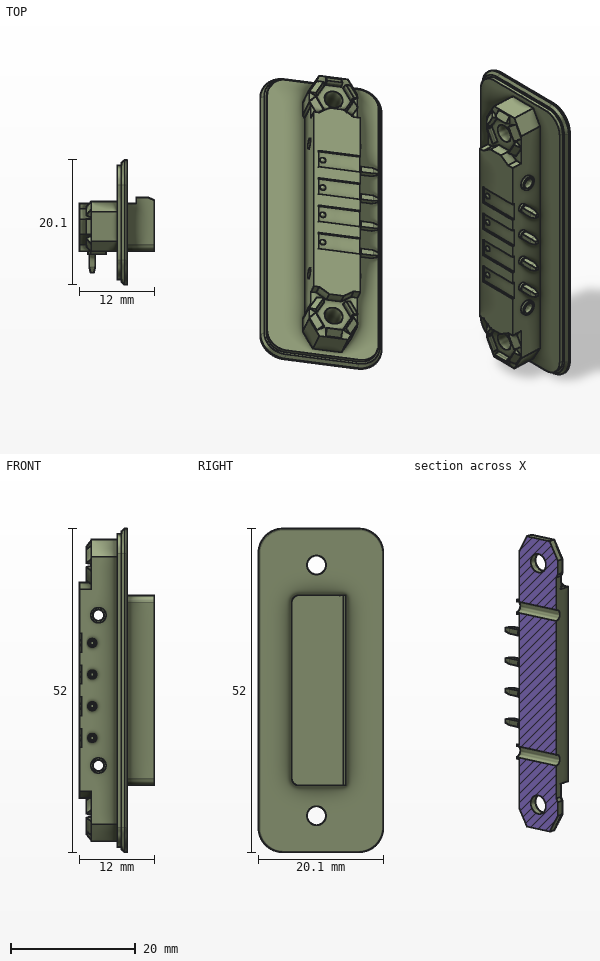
import cadquery as cq
import math

FLANGE_WIDTH = 20.07
FLANGE_HEIGHT = 51.95
FLANGE_CORNER_RADIUS = 4.0
FLANGE_BACK_X = 6.05
FLANGE_STEP_X = 6.72
FLANGE_RIM_X = 7.25
FLANGE_FRONT_X = 7.7
PAD_INSET = 0.85
BEVEL_INSET = 0.48
RIM_ROUND = 0.2

BODY_Y_MIN = -4.65
BODY_Y_MAX = 3.05
SHOULDER_X = 1.88
SEAT_Y = -0.7
SEAT_Z = 20.1
SEAT_APOTHEM = 4.1
SEAT_Y_MAX = 3.37
SCREW_HOLE_RADIUS = 1.5
BLOCK_GAP = 2.8
BLOCK_EDGE_GAP = 3.9
BLOCK_NOSE_HALF = 1.2
BLOCK_FLARE_HALF = 2.87

TAB_WIDTH = 2.55
TAB_HEIGHT = 0.82
TAB_INNER = 2.5
TAB_KNEE = 2.63
TAB_TIP = 2.88
TAB_OUTER = 3.93
TAB_COUNT = 5
TAB_ANGLE_STEP = 60

CONTACT_PITCH = 5.08
CONTACT_COUNT = 4
WINDOW_WIDTH = 3.0
WINDOW_DEPTH = 0.35
WINDOW_Y_MAX = 2.28
DOME_RADIUS = 0.5
DOME_Y = 1.48
PIN_X = 2.05
PIN_SIZE = 0.98
PIN_TIP_SIZE = 0.55
PIN_SHOULDER_Y = -7.15
PIN_END_Y = -8.1
COLLAR_RADIUS = 0.7
COLLAR_HEIGHT = 0.5

BOSS_HEIGHT = COLLAR_HEIGHT
BOSS_X = 3.05
BOSS_Z = 12.05
BOSS_RADIUS = 1.22
BOSS_HOLE_RADIUS = 0.88

SHELL_END_X = 12.0
SHELL_HEIGHT = 30.5
SHELL_CORNER_RADIUS = 1.13
RIDGE_X = 9.1
RIDGE_Y_MAX = 4.0
RIDGE_BEVEL_X = 11.0
RIDGE_BEVEL_DROP = 0.42

OVERLAP = 0.2


def box(x_range, y_range, z_range):
    """Box spanning the given coordinate ranges."""
    sizes = [high - low for low, high in (x_range, y_range, z_range)]
    corner = (x_range[0], y_range[0], z_range[0])
    return cq.Workplane("XY").box(*sizes, centered=False).translate(corner)


def flange_outline(x, inset):
    """Rounded flange outline at the given X, moved in from the rim."""
    return (
        cq.Sketch()
        .rect(FLANGE_WIDTH - 2 * inset, FLANGE_HEIGHT - 2 * inset)
        .vertices()
        .fillet(FLANGE_CORNER_RADIUS - inset)
        .moved(cq.Location(cq.Vector(0, 0, x)))
    )


def make_flange():
    pad = (
        cq.Workplane("YZ")
        .placeSketch(flange_outline(FLANGE_BACK_X, PAD_INSET))
        .extrude(FLANGE_FRONT_X - FLANGE_BACK_X)
    )
    bevel = (
        cq.Workplane("YZ")
        .placeSketch(flange_outline(FLANGE_STEP_X, BEVEL_INSET), flange_outline(FLANGE_RIM_X, 0))
        .loft()
    )
    rim = (
        cq.Workplane("YZ")
        .placeSketch(flange_outline(FLANGE_RIM_X, 0))
        .extrude(FLANGE_FRONT_X - FLANGE_RIM_X)
        .faces(">X")
        .edges()
        .fillet(RIM_ROUND)
    )
    return pad.union(bevel).union(rim)


def make_raised_block():
    """Middle block of the body, ending short of each screw seat with a tapered nose."""
    nose_z = SEAT_Z - BLOCK_GAP
    edge_z = SEAT_Z - BLOCK_EDGE_GAP
    upper_end = [
        (BODY_Y_MIN, edge_z),
        (SEAT_Y - BLOCK_FLARE_HALF, edge_z),
        (SEAT_Y - BLOCK_NOSE_HALF, nose_z),
        (SEAT_Y + BLOCK_NOSE_HALF, nose_z),
        (SEAT_Y + BLOCK_FLARE_HALF, edge_z),
        (BODY_Y_MAX, edge_z),
    ]
    lower_end = [(y, -z) for y, z in reversed(upper_end)]
    return cq.Workplane("YZ").polyline(upper_end + lower_end).close().extrude(FLANGE_FRONT_X)


def make_tab():
    """Wedge tab on the +Z face of a seat centred at the origin of Y and Z."""
    return (
        cq.Workplane("XZ", origin=(0, TAB_WIDTH / 2, 0))
        .polyline([
            (SHOULDER_X + OVERLAP, TAB_INNER),
            (SHOULDER_X, TAB_INNER),
            (SHOULDER_X - TAB_HEIGHT / 2, TAB_KNEE),
            (SHOULDER_X - TAB_HEIGHT, TAB_TIP),
            (SHOULDER_X, TAB_OUTER),
            (SHOULDER_X + OVERLAP, TAB_OUTER),
        ])
        .close()
        .extrude(TAB_WIDTH)
    )


def make_upper_seat():
    """Hexagonal screw seat with its tabs, trimmed flush with the body sides."""
    hexagon_diameter = 2 * SEAT_APOTHEM / math.cos(math.pi / 6)
    seat = (
        cq.Workplane("YZ", origin=(SHOULDER_X, 0, 0))
        .polygon(6, hexagon_diameter)
        .extrude(FLANGE_FRONT_X - SHOULDER_X)
    )
    for index in range(TAB_COUNT):
        angle = (index - (TAB_COUNT - 1) / 2) * TAB_ANGLE_STEP
        seat = seat.union(make_tab().rotate((0, 0, 0), (1, 0, 0), angle))
    trim = box(
        (0, FLANGE_FRONT_X),
        (BODY_Y_MIN, SEAT_Y_MAX),
        (SEAT_Z - 2 * SEAT_APOTHEM, SEAT_Z + 2 * SEAT_APOTHEM),
    )
    return seat.translate((0, SEAT_Y, SEAT_Z)).intersect(trim)


def make_body():
    base = box((SHOULDER_X, FLANGE_FRONT_X), (BODY_Y_MIN, BODY_Y_MAX), (-SEAT_Z, SEAT_Z))
    seat = make_upper_seat()
    return base.union(make_raised_block()).union(seat).union(seat.mirror("XY"))


def make_shell():
    """D-shaped mating shell: rounded -Y edges and a keying ridge on the +Y side."""
    shell = (
        box(
            (FLANGE_BACK_X, SHELL_END_X),
            (BODY_Y_MIN, BODY_Y_MAX),
            (-SHELL_HEIGHT / 2, SHELL_HEIGHT / 2),
        )
        .edges("|X and <Y")
        .fillet(SHELL_CORNER_RADIUS)
    )
    ridge = (
        cq.Workplane("XY", origin=(0, 0, -SHELL_HEIGHT / 2))
        .polyline([
            (RIDGE_X, BODY_Y_MAX - OVERLAP),
            (RIDGE_X, RIDGE_Y_MAX),
            (RIDGE_BEVEL_X, RIDGE_Y_MAX),
            (SHELL_END_X, RIDGE_Y_MAX - RIDGE_BEVEL_DROP),
            (SHELL_END_X, BODY_Y_MAX - OVERLAP),
        ])
        .close()
        .extrude(SHELL_HEIGHT)
    )
    return shell.union(ridge)


def side_cylinder(x, z, radius, start_y, length):
    """Cylinder running toward -Y from start_y."""
    return cq.Workplane("XZ", origin=(x, start_y, z)).circle(radius).extrude(length)


def make_window(z):
    """Shallow contact window, open at the -Y side of the body."""
    return box(
        (0, WINDOW_DEPTH),
        (BODY_Y_MIN, WINDOW_Y_MAX),
        (z - WINDOW_WIDTH / 2, z + WINDOW_WIDTH / 2),
    )


def make_contact(z):
    """Dome on the window's floor, plus the collar and square solder pin on the -Y side."""
    dome = cq.Workplane("XY").sphere(DOME_RADIUS).translate((DOME_RADIUS, DOME_Y, z))
    root_y = BODY_Y_MIN + OVERLAP
    collar = side_cylinder(PIN_X, z, COLLAR_RADIUS, root_y, COLLAR_HEIGHT + OVERLAP)
    pin = (
        cq.Workplane("XZ", origin=(PIN_X, root_y, z))
        .rect(PIN_SIZE, PIN_SIZE)
        .extrude(root_y - PIN_SHOULDER_Y)
        .faces("<Y")
        .workplane()
        .rect(PIN_SIZE, PIN_SIZE)
        .workplane(offset=PIN_SHOULDER_Y - PIN_END_Y)
        .rect(PIN_TIP_SIZE, PIN_TIP_SIZE)
        .loft()
    )
    return dome.union(collar).union(pin)


result = make_flange().union(make_body()).union(make_shell())

for contact_index in range(CONTACT_COUNT):
    contact_z = (contact_index - (CONTACT_COUNT - 1) / 2) * CONTACT_PITCH
    result = result.cut(make_window(contact_z)).union(make_contact(contact_z))

for side in (-1, 1):
    boss = side_cylinder(
        BOSS_X, side * BOSS_Z, BOSS_RADIUS, BODY_Y_MIN + OVERLAP, BOSS_HEIGHT + OVERLAP
    )
    boss_hole = side_cylinder(
        BOSS_X, side * BOSS_Z, BOSS_HOLE_RADIUS, FLANGE_WIDTH / 2, FLANGE_WIDTH
    )
    screw_hole = (
        cq.Workplane("YZ", origin=(0, SEAT_Y, side * SEAT_Z))
        .circle(SCREW_HOLE_RADIUS)
        .extrude(SHELL_END_X)
    )
    result = result.union(boss).cut(boss_hole).cut(screw_hole)